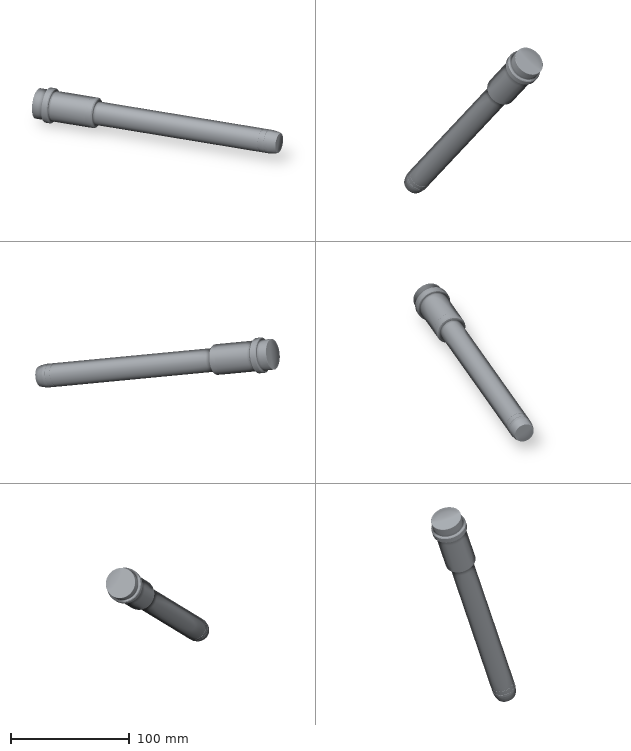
import cadquery as cq

length = 220.0
head_diameter = 26.0
collar_diameter = 30.0
shaft_diameter = 20.0
tip_diameter = 17.0

collar_start = 8.8
collar_end = 14.7
collar_chamfer = 0.7

front_relief_width = 0.5
rear_relief_width = 1.3
shaft_relief_width = 0.5
relief_depth = 0.33

head_end = 54.3
head_chamfer = 0.9
head_edge_break = 0.2
lead_length = 6.0
lead_clearance = 0.05

shaft_grooves = ((204.4, 1.3), (209.7, 0.7))
groove_depth = 0.2
tip_length = 7.3
tip_bulge = 0.33


def cylinder(start, end, diameter):
    """Solid round section along X between two stations."""
    return cq.Workplane("YZ", origin=(start, 0, 0)).circle(diameter / 2).extrude(end - start)


def ring_groove(start, width, diameter, depth):
    """Ring to cut away from a round section of the given diameter."""
    inner_diameter = diameter - 2 * depth
    return cylinder(start, start + width, diameter).cut(cylinder(start, start + width, inner_diameter))


def rounded_tip():
    """Slightly bulged taper at the free end of the shaft."""
    start = length - tip_length
    shaft_radius = shaft_diameter / 2
    tip_radius = tip_diameter / 2
    middle = (length - tip_length / 2, (shaft_radius + tip_radius) / 2 + tip_bulge)
    profile = (
        cq.Workplane("XY")
        .moveTo(start, 0)
        .lineTo(start, shaft_radius)
        .threePointArc(middle, (length, tip_radius))
        .lineTo(length, 0)
        .close()
    )
    return profile.revolve(360, (0, 0, 0), (1, 0, 0))


lead_start = head_end - lead_length
head = cylinder(0, lead_start, head_diameter).faces("<X").chamfer(head_edge_break)
lead = cylinder(lead_start, head_end, head_diameter - 2 * lead_clearance).faces(">X").chamfer(head_chamfer)

collar = cylinder(collar_start, collar_end, collar_diameter).faces("<X or >X").chamfer(collar_chamfer)
head = head.cut(
    ring_groove(collar_start - front_relief_width, front_relief_width, head_diameter, relief_depth)
)
head = head.cut(ring_groove(collar_end, rear_relief_width, head_diameter, relief_depth))

shaft = cylinder(head_end, length - tip_length, shaft_diameter)
shaft = shaft.cut(ring_groove(head_end, shaft_relief_width, shaft_diameter, relief_depth))
for groove_start, groove_width in shaft_grooves:
    shaft = shaft.cut(ring_groove(groove_start, groove_width, shaft_diameter, groove_depth))

result = head.union(lead).union(collar).union(shaft).union(rounded_tip())